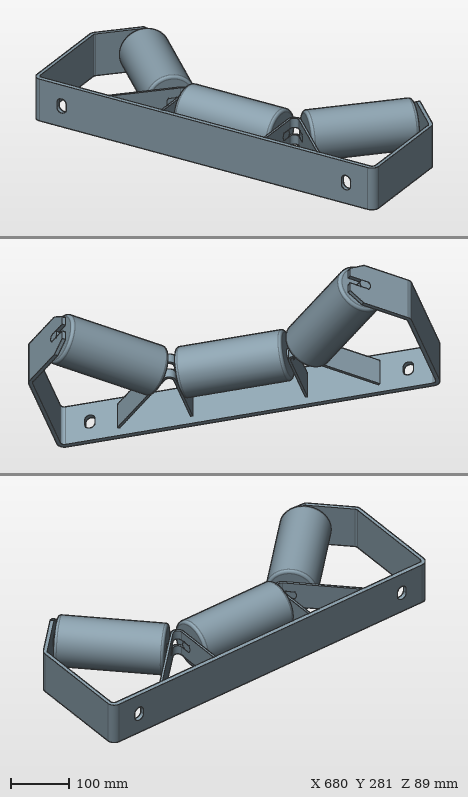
import cadquery as cq
import math


drum_diameter = 89.0
drum_radius = drum_diameter / 2
drum_length = 190.5
drum_fillet = 5.5
shaft_radius = 10.0
shaft_flat_width = 14.0
tilt = 45
seat_distance = 100.0
center_roller_y = 101.0
side_roller_x = 201.0
side_roller_y = 184.0

frame_length = 680.0
frame_thickness = 7.0
base_thickness = 8.0
frame_width = 80.0
frame_bend_radius = 13.5
arm_tip_y = 281.0
tip_width = 47.0
tip_chamfer_run = 27.0
mount_slot_x = 283.0
mount_slot_width = 18.5
mount_slot_height = 27.0

bracket_thickness = 4.0
bracket_width = 49.5
bracket_bend_radius = 12.0

diagonal = math.sqrt(0.5)
roller_offset = side_roller_y + side_roller_x
arm_inner_offset = roller_offset + seat_distance / diagonal
arm_outer_offset = arm_inner_offset + frame_thickness / diagonal
leg_outer_offset = roller_offset - seat_distance / diagonal
leg_inner_offset = leg_outer_offset - bracket_thickness / diagonal


def bend(plate, corner, radius):
    """Round the upright edge of a plate at the given (x, y) corner."""
    nearest = cq.selectors.NearestToPointSelector((*corner, 0))
    return plate.edges("|Z").edges(nearest).fillet(radius)


def mirrored(body):
    """The copy of a body on the +X side."""
    return body.mirror("YZ")


def place_side(body):
    """Move a body from the roller's own axes (axis along X) to the left inclined roller."""
    return body.rotate((0, 0, 0), (0, 0, 1), -tilt).translate((-side_roller_x, side_roller_y, 0))


def place_center(body):
    """Move a body from the roller's own axes to the level middle roller."""
    return body.translate((0, center_roller_y, 0))



def shaft_section(x_start, length):
    """Round bar along X with a flat above and below."""
    bar = cq.Workplane("YZ", origin=(x_start, 0, 0)).circle(shaft_radius).extrude(length)
    between_flats = cq.Workplane("XY", origin=(x_start, 0, 0)).box(
        length, 2 * shaft_radius, shaft_flat_width, centered=(False, True, True)
    )
    return bar.intersect(between_flats)


def make_roller(left_reach, right_reach):
    """Drum with round shaft stubs and flatted ends that fill plates of the given thicknesses."""
    drum = (
        cq.Workplane("XY")
        .moveTo(-drum_length / 2, 0)
        .lineTo(-drum_length / 2, -drum_radius)
        .lineTo(drum_length / 2, -drum_radius)
        .lineTo(drum_length / 2, 0)
        .close()
        .revolve(360, (0, 0, 0), (1, 0, 0))
        .faces("<X or >X")
        .edges()
        .fillet(drum_fillet)
    )
    stubs = cq.Workplane("YZ").circle(shaft_radius).extrude(seat_distance, both=True)
    ends = shaft_section(-seat_distance - left_reach, 2 * seat_distance + left_reach + right_reach)
    return drum.union(stubs).union(ends)


def make_seat_slots():
    """Cutter for the open slots at both ends of a roller, in the roller's own axes."""
    depth = bracket_bend_radius
    opening_run = 2 * drum_radius
    cutter = cq.Workplane("XY")
    for x_start in (seat_distance, -seat_distance - depth):
        bottom = shaft_section(x_start, depth)
        opening = cq.Workplane("XY", origin=(x_start, 0, 0)).box(
            depth, opening_run, shaft_flat_width, centered=(False, False, True)
        )
        cutter = cutter.add(bottom.union(opening))
    return cutter.combine()



def frame_outline(inset, base_y, arm_offset):
    """Corner points of one face of the strip, from the middle of the base to the left arm tip."""
    x_side = inset - frame_length / 2
    tip_y = arm_tip_y - inset * diagonal
    return [(0, base_y), (x_side, base_y), (x_side, x_side + arm_offset), (tip_y - arm_offset, tip_y)]


def make_frame():
    """Bent strip: base, upright sides and inclined arms, with slots and chamfered tips."""
    outer = frame_outline(0, 0, arm_outer_offset)
    inner = frame_outline(frame_thickness, base_thickness, arm_inner_offset)
    half = cq.Workplane("XY").polyline(outer + inner[::-1]).close().extrude(frame_width / 2, both=True)

    inner_bend = frame_bend_radius - frame_thickness
    for outer_corner, inner_corner in zip(outer[1:3], inner[1:3]):
        half = bend(half, outer_corner, frame_bend_radius)
        half = bend(half, inner_corner, inner_bend)

    half = half.cut(make_tip_chamfers()).cut(make_mount_slot()).cut(place_side(make_seat_slots()))
    return half.union(mirrored(half))


def make_tip_chamfers():
    """Wedges that narrow the left arm towards its tip, above and below."""
    tip_x = arm_tip_y - arm_outer_offset
    drop = (frame_width - tip_width) / 2
    wedges = cq.Workplane("XY")
    for side in (1, -1):
        edge_z = side * frame_width / 2
        wedge = (
            cq.Workplane("YZ")
            .polyline([(0, edge_z), (-tip_chamfer_run, edge_z), (0, edge_z - side * drop)])
            .close()
            .extrude(2 * frame_thickness, both=True)
            .rotate((0, 0, 0), (0, 0, 1), -tilt)
            .translate((tip_x, arm_tip_y, 0))
        )
        wedges = wedges.add(wedge)
    return wedges.combine()


def make_mount_slot():
    """Upright round-ended slot through the base of the frame."""
    return (
        cq.Workplane("XZ", origin=(-mount_slot_x, 0, 0))
        .slot2D(mount_slot_height, mount_slot_width, 90)
        .extrude(-base_thickness)
    )



def make_bracket():
    """Left bracket: upright leg, bend at the top and a 45 degree leg down to the base."""
    upright_outer = -seat_distance
    upright_inner = -seat_distance - bracket_thickness
    foot_y = base_thickness
    foot_x = foot_y - leg_inner_offset
    foot_slide = bracket_thickness * diagonal
    outer_corner = (upright_outer, upright_outer + leg_outer_offset)
    inner_corner = (upright_inner, upright_inner + leg_inner_offset)
    bracket = (
        cq.Workplane("XY")
        .polyline([
            (upright_outer, foot_y),
            outer_corner,
            (foot_x - foot_slide, foot_y + foot_slide),
            (foot_x, foot_y),
            inner_corner,
            (upright_inner, foot_y),
        ])
        .close()
        .extrude(bracket_width / 2, both=True)
    )
    bracket = bend(bracket, outer_corner, bracket_bend_radius)
    bracket = bend(bracket, inner_corner, bracket_bend_radius - bracket_thickness)
    slots = make_seat_slots()
    return bracket.cut(place_side(slots)).cut(place_center(slots))


frame = make_frame()
left_bracket = make_bracket()
center_roller = place_center(make_roller(bracket_thickness, bracket_thickness))
left_roller = place_side(make_roller(frame_thickness, bracket_thickness))
pairs = [left_bracket, mirrored(left_bracket), left_roller, mirrored(left_roller)]

result = cq.Compound.makeCompound([frame.val(), center_roller.val(), *[body.val() for body in pairs]])